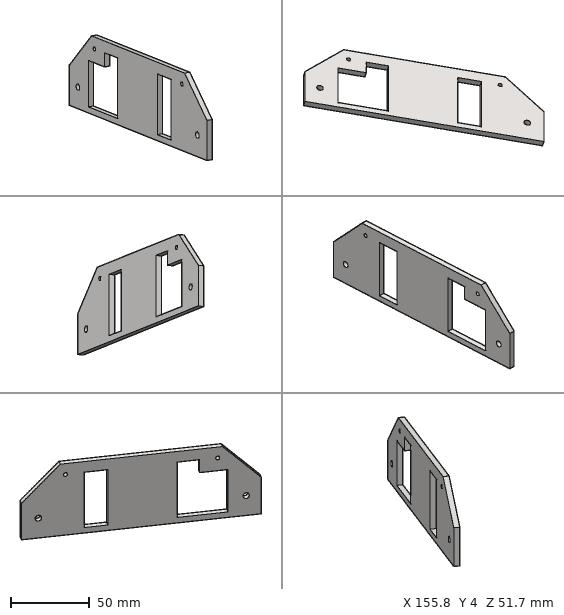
import cadquery as cq

length = 155.8
thickness = 4.0
height = 51.7
corner_cut = 25.2

window_bottom = 4.0
window_top = 44.0
large_window_left = 21.7
large_window_right = 54.5
notch_right = 40.0
notch_bottom = 34.6
small_window_left = 99.7
small_window_right = 115.0

upper_hole_diameter = 2.5
upper_hole_height = 43.8
upper_hole_xs = (28.4, 127.3)
lower_hole_diameter = 4.0
lower_hole_height = 14.3
lower_hole_xs = (9.8, 144.9)


def prism(points):
    """Extrude an XZ outline through the plate thickness, toward +Y."""
    return cq.Workplane("XZ").polyline(points).close().extrude(-thickness)


def hole_pair(xs, z, diameter):
    """Cylinders through the plate at the given X positions and height."""
    centers = [(x, z) for x in xs]
    return cq.Workplane("XZ").pushPoints(centers).circle(diameter / 2).extrude(-thickness)


plate = prism([
    (0, 0),
    (length, 0),
    (length, height - corner_cut),
    (length - corner_cut, height),
    (corner_cut, height),
    (0, height - corner_cut),
])

large_window = prism([
    (large_window_left, window_bottom),
    (large_window_right, window_bottom),
    (large_window_right, window_top),
    (notch_right, window_top),
    (notch_right, notch_bottom),
    (large_window_left, notch_bottom),
])

small_window = prism([
    (small_window_left, window_bottom),
    (small_window_right, window_bottom),
    (small_window_right, window_top),
    (small_window_left, window_top),
])

upper_holes = hole_pair(upper_hole_xs, upper_hole_height, upper_hole_diameter)
lower_holes = hole_pair(lower_hole_xs, lower_hole_height, lower_hole_diameter)

result = plate.cut(large_window).cut(small_window).cut(upper_holes).cut(lower_holes)